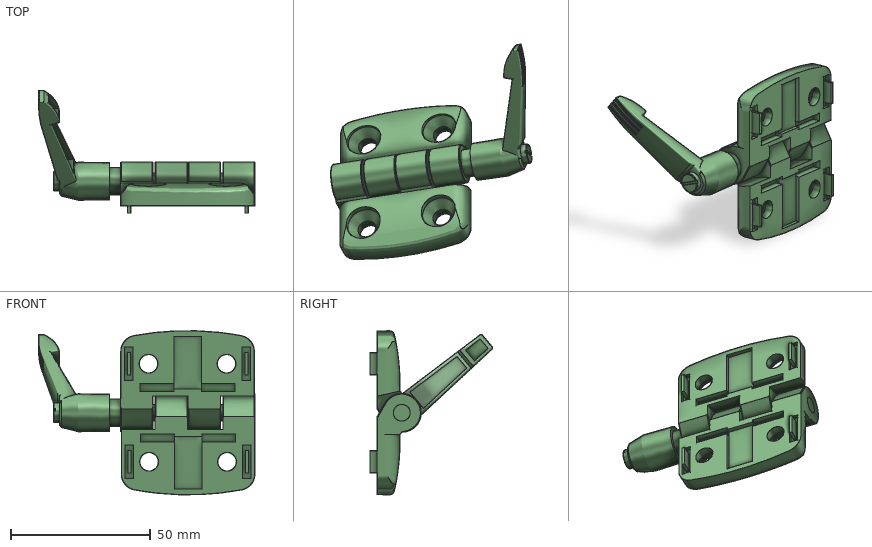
import cadquery as cq
import math


axis_height = 8.85
face_y = -axis_height
leaf_half_width = 24.0
leaf_offset = 0.1
leaf_end_z = 29.5
end_arc_radius = 105.0
corner_radius = 5.9
back_root_y = -0.65
back_root_z = 7.8
back_mid_y = -1.0
back_mid_z = 18.0
back_end_y = -3.0
crown_round = 5.4
crown_overhang = 3.0
crown_corner_radius = 8.5
end_edge_round = 1.8

barrel_radius = 7.0
knuckle_relief_z = 1.42
recess_face_z = 5.95
outer_knuckle_inner_x = -12.45
inner_knuckle_start_x = 0.15
inner_knuckle_end_x = 11.9
knuckle_chamfer = 0.3

hole_diameter = 6.6
hole_head_radius = 6.3
hole_straight_depth = 3.2
hole_x = 14.0
hole_z = 17.6
strip_width = 9.9
strip_bottom_z = 8.6
strip_top_z = 27.45
strip_depth = 1.5
cross_slot_length = 34.2
cross_slot_bottom_z = 7.6
cross_slot_top_z = 10.5
cross_slot_depth = 3.0
tab_x = 21.1
tab_pocket_width = 3.15
tab_pocket_length = 12.1
tab_pocket_depth = 1.5
tab_thickness = 1.1
tab_length = 8.0
tab_reach = 2.6

leaf_left_x = -leaf_offset - leaf_half_width
neck_radius = 5.0
axle_radius = 3.0
hub_right_x = -28.1
hub_ridge_x = -39.3
hub_cone_x = -45.3
hub_left_x = -46.0
hub_right_radius = 6.7
hub_ridge_radius = 6.85
hub_cone_radius = 5.35
hub_left_radius = 4.5
screw_head_x = -48.3
screw_head_radius = 3.55
screw_head_chamfer = 0.3
screw_shank_radius = 2.0
screw_slot_width = 0.9
screw_slot_depth = 0.7
screw_slot_tilt = -19.0

arm_angle = math.radians(40)
arm_tip_u = 40.1
arm_root_half_width = 5.35
arm_tip_half_width = 3.33
arm_edge_round = 0.6
planform_reach = 60.0
arm_back_root_x = -45.65
arm_back_slope = -0.245
arm_seat_u = 3.7
arm_step_u = 4.9
arm_bend_u = 29.0
arm_bend_end_u = 37.0
arm_bend_mid_x = -53.35
arm_back_tip_x = -53.6
arm_front_root_x = -38.5
notch_root = (-49.0, 29.4)
notch_lip = (-46.1, 30.4)
pad_mid = (-48.3, 36.4)
pad_tip_x = -51.7
hollow_depth = 2.5
hollow_rim = 1.2
hollow_start_u = 7.0
pad_hollow_start_u = 32.0
pad_hollow_end_u = 38.6
pad_hollow_floor_x = -51.0
groove_count = 3
groove_spacing = 2.0
groove_width = 0.8
groove_depth = 0.3
groove_start_u = 25.9


def box(x_range, y_range, z_range):
    """Axis-aligned block from its limits along X, Y and Z."""
    size = [high - low for low, high in (x_range, y_range, z_range)]
    low_corner = (x_range[0], y_range[0], z_range[0])
    return cq.Workplane("XY").box(*size, centered=False).translate(low_corner)


def x_cylinder(x_start, x_end, radius):
    """Cylinder on the hinge axis."""
    return cq.Workplane("YZ", origin=(x_start, 0, 0)).circle(radius).extrude(x_end - x_start)


def face_pocket(x_center, width, z_range, depth):
    """Rectangular pocket cutter sunk into the mounting face."""
    x_range = (x_center - width / 2, x_center + width / 2)
    return box(x_range, (face_y, face_y + depth), z_range)


def leaf_outline(end_z, end_corner_radius):
    """Leaf-shaped block with a bowed end and two round corners."""
    arc_drop = end_arc_radius - math.sqrt(end_arc_radius**2 - leaf_half_width**2)
    shoulder_z = end_z - arc_drop
    return (
        cq.Workplane("XZ", origin=(0, face_y, 0))
        .moveTo(-leaf_half_width, 0)
        .lineTo(leaf_half_width, 0)
        .lineTo(leaf_half_width, shoulder_z)
        .threePointArc((0, end_z), (-leaf_half_width, shoulder_z))
        .close()
        .extrude(face_y - back_root_y)
        .edges("|Y")
        .edges(">Z")
        .fillet(end_corner_radius)
    )


def leaf_plate():
    """Domed plate whose back is rounded off broadly at the sides and lightly at the end."""
    dome = (
        cq.Workplane("YZ", origin=(-leaf_half_width, 0, 0))
        .moveTo(face_y, recess_face_z)
        .lineTo(back_root_y, back_root_z)
        .threePointArc((back_mid_y, back_mid_z), (back_end_y, leaf_end_z))
        .lineTo(face_y, leaf_end_z)
        .close()
        .extrude(2 * leaf_half_width)
    )
    crown = leaf_outline(leaf_end_z + crown_overhang, crown_corner_radius)
    crown = crown.faces(">Y").edges().fillet(crown_round)
    plate = leaf_outline(leaf_end_z, corner_radius).intersect(dome)
    plate = plate.faces(">Z").edges(">Y").fillet(end_edge_round)
    return plate.intersect(crown)


def knuckle(x_start, x_end):
    """Barrel with a flank tangent to it and a web into the plate."""
    corner_distance = math.hypot(face_y, knuckle_relief_z)
    corner_angle = math.atan2(knuckle_relief_z, face_y)
    tangent_angle = corner_angle + math.acos(barrel_radius / corner_distance)
    tangent_point = (barrel_radius * math.cos(tangent_angle), barrel_radius * math.sin(tangent_angle))
    return (
        cq.Workplane("YZ", origin=(x_start, 0, 0))
        .moveTo(face_y, knuckle_relief_z)
        .lineTo(*tangent_point)
        .threePointArc((barrel_radius, 0), (0, barrel_radius))
        .lineTo(back_root_y, back_root_z)
        .lineTo(face_y, back_root_z)
        .close()
        .extrude(x_end - x_start)
        .edges("%CIRCLE")
        .chamfer(knuckle_chamfer)
    )


def mounting_hole(x_center):
    """Cutter for a screw hole countersunk from the back."""
    radius = hole_diameter / 2
    flare_end = hole_straight_depth + hole_head_radius - radius
    return (
        cq.Workplane("XY", origin=(x_center, face_y, hole_z))
        .moveTo(0, 0)
        .lineTo(radius, 0)
        .lineTo(radius, hole_straight_depth)
        .lineTo(hole_head_radius, flare_end)
        .lineTo(hole_head_radius, axis_height)
        .lineTo(0, axis_height)
        .close()
        .revolve(360, (0, 0, 0), (0, 1, 0))
    )


def make_leaf():
    """Upper leaf, centred on x = 0."""
    leaf = leaf_plate()
    leaf = leaf.union(knuckle(-leaf_half_width, outer_knuckle_inner_x))
    leaf = leaf.union(knuckle(inner_knuckle_start_x, inner_knuckle_end_x))
    leaf = leaf.cut(face_pocket(0, strip_width, (strip_bottom_z, strip_top_z), strip_depth))

    slot_length = (cross_slot_length - strip_width) / 2
    slot_x = (cross_slot_length + strip_width) / 4
    pocket_z = (hole_z - tab_pocket_length / 2, hole_z + tab_pocket_length / 2)
    tab_z = (hole_z - tab_length / 2, hole_z + tab_length / 2)
    for side in (-1, 1):
        slot_z = (cross_slot_bottom_z, cross_slot_top_z)
        leaf = leaf.cut(face_pocket(side * slot_x, slot_length, slot_z, cross_slot_depth))
        leaf = leaf.cut(mounting_hole(side * hole_x))
        leaf = leaf.cut(face_pocket(side * tab_x, tab_pocket_width, pocket_z, tab_pocket_depth))
        tab_edges = (side * tab_x - tab_thickness / 2, side * tab_x + tab_thickness / 2)
        tab = box(tab_edges, (face_y - tab_reach, face_y + tab_pocket_depth), tab_z)
        leaf = leaf.union(tab)

    bore = x_cylinder(-leaf_half_width, leaf_half_width, axle_radius)
    return leaf.cut(bore)


def make_stud():
    """Neck between lever and hinge, with the axle through all knuckles."""
    neck = x_cylinder(hub_right_x, leaf_left_x, neck_radius)
    return neck.union(x_cylinder(leaf_left_x, -leaf_left_x, axle_radius))


def make_screw():
    """Slotted screw whose shank runs through the hub to the stud."""
    head = x_cylinder(screw_head_x, hub_left_x, screw_head_radius)
    head = head.faces("<X").chamfer(screw_head_chamfer)
    slot = (
        cq.Workplane("YZ", origin=(screw_head_x, 0, 0))
        .rect(2 * screw_head_radius, screw_slot_width)
        .extrude(screw_slot_depth)
        .rotate((0, 0, 0), (1, 0, 0), screw_slot_tilt)
    )
    return head.cut(slot).union(x_cylinder(hub_left_x, hub_right_x, screw_shank_radius))


def lever_hub():
    """Turned hub with a ridge and a coned outer end."""
    return (
        cq.Workplane("XY")
        .moveTo(hub_right_x, 0)
        .lineTo(hub_right_x, hub_right_radius)
        .lineTo(hub_ridge_x, hub_ridge_radius)
        .lineTo(hub_cone_x, hub_cone_radius)
        .lineTo(hub_left_x, hub_left_radius)
        .lineTo(hub_left_x, 0)
        .close()
        .revolve(360, (0, 0, 0), (1, 0, 0))
    )


arm_direction = (0, math.cos(arm_angle), math.sin(arm_angle))
across_direction = (0, -math.sin(arm_angle), math.cos(arm_angle))
profile_plane = cq.Plane((0, 0, 0), (1, 0, 0), across_direction)
across_vector = cq.Vector(*across_direction)
planform_plane = cq.Plane((0, 0, 0), arm_direction, (1, 0, 0))


def arm_back_x(u):
    """Back of the arm along its straight stretch."""
    return arm_back_root_x + arm_back_slope * u


def arm_planform(start_u, end_u, inset):
    """Tapered strip of the arm seen along X, inset from both sides and long enough to cut through."""
    taper = (arm_tip_half_width - arm_root_half_width) / arm_tip_u
    start_v = arm_root_half_width + taper * start_u - inset
    end_v = arm_root_half_width + taper * end_u - inset
    corners = [(start_u, -start_v), (end_u, -end_v), (end_u, end_v), (start_u, start_v)]
    strip = cq.Workplane(planform_plane).polyline(corners).close()
    return strip.extrude(planform_reach, both=True)


def arm_slab(outline):
    """Spread a closed profile across the full width of the arm."""
    return outline.close().extrude(arm_root_half_width, both=True)


def draw_arm_back(start_u, end_u, shift):
    """Open profile up the back of the arm, shifted along X."""
    bend_mid_u = (arm_bend_u + arm_bend_end_u) / 2
    bend_mid = (arm_bend_mid_x + shift, bend_mid_u)
    return (
        cq.Workplane(profile_plane)
        .moveTo(arm_back_x(start_u) + shift, start_u)
        .lineTo(arm_back_x(arm_bend_u) + shift, arm_bend_u)
        .threePointArc(bend_mid, (arm_back_tip_x + shift, arm_bend_end_u))
        .lineTo(arm_back_tip_x + shift, end_u)
    )


def arm_body():
    """Solid arm: slanted shank, notch and curved thumb pad, with rounded side edges."""
    outline = (
        draw_arm_back(arm_step_u, arm_tip_u, 0)
        .lineTo(pad_tip_x, arm_tip_u)
        .threePointArc(pad_mid, notch_lip)
        .lineTo(*notch_root)
        .lineTo(arm_front_root_x, 0)
        .lineTo(hub_left_x, 0)
        .lineTo(hub_left_x, arm_seat_u)
    )
    arm = arm_slab(outline).intersect(arm_planform(0, arm_tip_u, 0))
    upper_side = cq.selectors.DirectionMinMaxSelector(across_vector, True)
    lower_side = cq.selectors.DirectionMinMaxSelector(across_vector, False)
    return arm.faces(upper_side + lower_side).edges().fillet(arm_edge_round)


def arm_hollow():
    """Channel in the inner side of the shank."""
    root_x, root_u = notch_root
    slope = (arm_front_root_x - root_x) / root_u
    start_x = arm_front_root_x - slope * hollow_start_u
    end_u = root_u - hollow_rim
    end_x = arm_front_root_x - slope * end_u
    outline = cq.Workplane(profile_plane).polyline(
        [
            (start_x - hollow_depth, hollow_start_u),
            (end_x - hollow_depth, end_u),
            (end_x + hollow_depth, end_u),
            (start_x + hollow_depth, hollow_start_u),
        ]
    )
    return arm_slab(outline).intersect(arm_planform(hollow_start_u, end_u, hollow_rim))


def pad_hollow():
    """Recess in the inner side of the thumb pad, with a floor parallel to the arm's tip."""
    outline = cq.Workplane(profile_plane).polyline(
        [
            (pad_hollow_floor_x, pad_hollow_start_u),
            (pad_hollow_floor_x, pad_hollow_end_u),
            (arm_front_root_x, pad_hollow_end_u),
            (arm_front_root_x, pad_hollow_start_u),
        ]
    )
    return arm_slab(outline).intersect(arm_planform(pad_hollow_start_u, pad_hollow_end_u, hollow_rim))


def grip_grooves():
    """Shallow grooves up the back of the arm to its tip."""
    band = arm_slab(
        draw_arm_back(groove_start_u, arm_tip_u, groove_depth)
        .lineTo(arm_back_tip_x - groove_depth, arm_tip_u)
        .lineTo(arm_back_tip_x - groove_depth, groove_start_u)
    )
    stripes = (
        cq.Workplane(planform_plane)
        .center((groove_start_u + arm_tip_u) / 2, 0)
        .rarray(1, groove_spacing, 1, groove_count)
        .rect(arm_tip_u - groove_start_u, groove_width)
        .extrude(planform_reach, both=True)
    )
    return band.intersect(stripes)


def make_lever():
    """Hub and arm in one piece, bored for the screw shank."""
    arm = arm_body().cut(arm_hollow()).cut(pad_hollow()).cut(grip_grooves())
    lever = lever_hub().union(arm)
    return lever.cut(x_cylinder(hub_left_x, hub_right_x, screw_shank_radius))


upper_leaf = make_leaf().translate((-leaf_offset, 0, 0))
lower_leaf = upper_leaf.rotate((0, 0, 0), (0, 1, 0), 180)
stud = make_stud()
lever = make_lever()
screw = make_screw()

result = cq.Compound.makeCompound(
    [upper_leaf.val(), lower_leaf.val(), stud.val(), lever.val(), screw.val()]
)